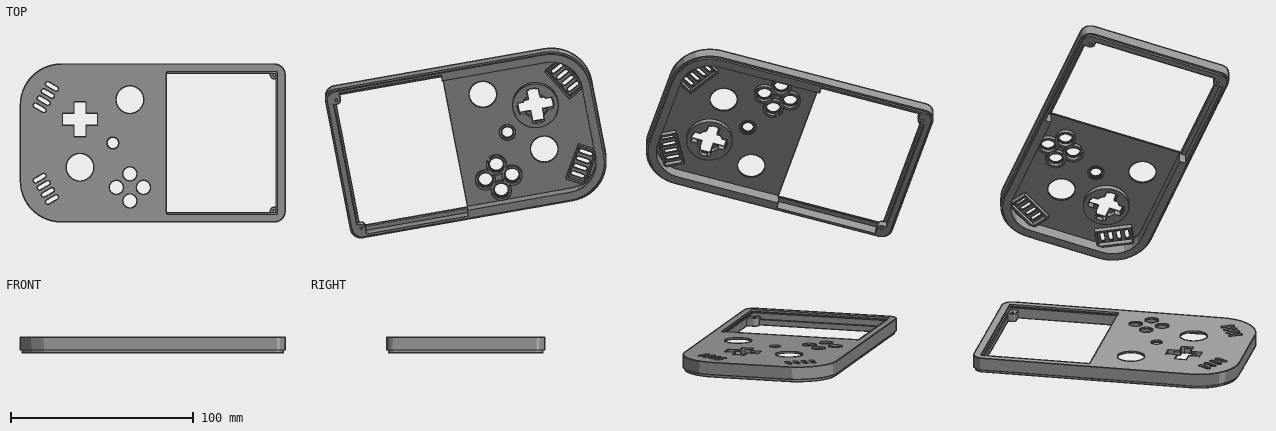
import cadquery as cq

LENGTH = 145.0
WIDTH = 86.55
HEIGHT = 8.5
GRIP_RADIUS = 22.5
SCREEN_END_RADIUS = 6.0
TOP_CHAMFER = 0.2
PLATE_THICKNESS = 1.0
PLATE_BOTTOM = HEIGHT - PLATE_THICKNESS

LIP_HEIGHT = 1.5
LIP_INSET = 1.0

GRIP_WALL = 5.5
SCREEN_WALL = 2.2
SCREEN_CAVITY_RADIUS = SCREEN_END_RADIUS - SCREEN_WALL

WINDOW_X_MIN = 7.5
WINDOW_X_MAX = 68.3
WINDOW_WIDTH = 78.0
WINDOW_RADIUS = 0.8
BEZEL_LEDGE = 0.95
BEZEL_THICKNESS = 0.6
SILL_X = 68.5
SILL_HEIGHT = 3.0

BOSS_DIAMETER = 4.5
SCREW_DIAMETER = 1.4
BOSS_HEIGHT = 4.5

COLLAR_BOTTOM = 4.5
CONTROL_X_LEFT = -39.8
CONTROL_X_RIGHT = -12.5
JOYSTICK_DIAMETER = 15.0
JOYSTICK_POSITIONS = [(CONTROL_X_LEFT, -13.25), (CONTROL_X_RIGHT, 23.7)]
MENU_DIAMETER = 6.2
MENU_RECESS_DIAMETER = 6.8
MENU_COLLAR_DIAMETER = 9.0
MENU_COLLAR_BOTTOM = 7.0
MENU_POSITION = (-21.8, 0.0)

DPAD_CENTER = (CONTROL_X_LEFT, 13.0)
DPAD_SPAN = 19.0
DPAD_ARM = 6.5
DPAD_RECESS_DIAMETER = 14.0
DPAD_COLLAR_DIAMETER = 25.0
DPAD_KEYWAY_WIDTH = 3.5
DPAD_KEYWAY_SPAN = 20.0

BUTTON_CENTER = (CONTROL_X_RIGHT, -24.3)
BUTTON_OFFSET = 7.4
BUTTON_DIAMETER = 7.6
BUTTON_RECESS_DIAMETER = 8.6
BUTTON_COLLAR_DIAMETER = 11.0
BUTTON_COLLAR_BOTTOM = 5.2
BUTTON_NOTCH_WIDTH = 2.4
BUTTON_NOTCH_ANGLE = 45.0

GRILLE_CENTER = (-58.5, 25.1)
GRILLE_ANGLE = 30.0
SLOT_COUNT = 4
SLOT_PITCH = 4.5
SLOT_LENGTH = 7.8
SLOT_WIDTH = 2.5
POCKET_LENGTH = 9.2
POCKET_WIDTH = 18.5
POCKET_WALL = 1.0


def block(x_min, x_max, width, z_min, z_max):
    """Box between two X and Z limits, centered on Y."""
    return (
        cq.Workplane("XY")
        .box(x_max - x_min, width, z_max - z_min, centered=(False, True, False))
        .translate((x_min, 0, z_min))
    )


def cylinder(center, diameter, z_min, z_max):
    return (
        cq.Workplane("XY", origin=(center[0], center[1], z_min))
        .circle(diameter / 2)
        .extrude(z_max - z_min)
    )


def outline(inset, z_min, z_max):
    """Shell outline, offset inwards, between two levels."""
    half_length = LENGTH / 2 - inset
    body = block(-half_length, half_length, WIDTH - 2 * inset, z_min, z_max)
    body = body.edges("|Z and <X").fillet(GRIP_RADIUS - inset)
    return body.edges("|Z and >X").fillet(SCREEN_END_RADIUS - inset)


def make_shell():
    body = outline(0, LIP_HEIGHT, HEIGHT).faces(">Z").chamfer(TOP_CHAMFER)
    shell = body.union(outline(LIP_INSET, 0, LIP_HEIGHT))

    grip_cavity = block(
        -LENGTH / 2 + GRIP_WALL, WINDOW_X_MIN, WIDTH - 2 * GRIP_WALL, 0, PLATE_BOTTOM
    )
    grip_cavity = grip_cavity.edges("|Z and <X").fillet(GRIP_RADIUS - GRIP_WALL)

    screen_cavity = block(
        WINDOW_X_MIN, LENGTH / 2 - SCREEN_WALL, WIDTH - 2 * SCREEN_WALL, 0, PLATE_BOTTOM
    )
    screen_cavity = screen_cavity.edges("|Z and >X").fillet(SCREEN_CAVITY_RADIUS)
    return shell.cut(grip_cavity).cut(screen_cavity)


def add_screen_supports(shell):
    """Bezel layer under the plate, the +X sill and the two screw bosses."""
    wall_x = LENGTH / 2 - SCREEN_WALL
    wall_y = WIDTH / 2 - SCREEN_WALL
    inside = outline(SCREEN_WALL, 0, PLATE_BOTTOM)
    supports = block(
        WINDOW_X_MIN, wall_x, 2 * wall_y, PLATE_BOTTOM - BEZEL_THICKNESS, PLATE_BOTTOM
    )
    supports = supports.union(block(SILL_X, wall_x, 2 * wall_y, 0, SILL_HEIGHT))

    boss_x = LENGTH / 2 - SCREEN_END_RADIUS
    boss_y = WIDTH / 2 - SCREEN_END_RADIUS
    boss_radius = BOSS_DIAMETER / 2
    for side in (-1, 1):
        center = (boss_x, side * boss_y)
        supports = supports.union(cylinder(center, BOSS_DIAMETER, 0, BOSS_HEIGHT))
        end_web = block(
            boss_x, wall_x, boss_radius + wall_y - boss_y, 0, BOSS_HEIGHT
        ).translate((0, side * (wall_y + boss_y - boss_radius) / 2, 0))
        side_web = block(
            boss_x - boss_radius, wall_x, wall_y - boss_y, 0, BOSS_HEIGHT
        ).translate((0, side * (wall_y + boss_y) / 2, 0))
        supports = supports.union(end_web).union(side_web)
    shell = shell.union(supports.intersect(inside))
    for side in (-1, 1):
        shell = shell.cut(cylinder((boss_x, side * boss_y), SCREW_DIAMETER, 0, BOSS_HEIGHT))
    return shell


def cut_window(shell):
    """Plate opening, and a smaller opening that leaves the bezel as a ledge on three sides."""
    plate_opening = block(WINDOW_X_MIN, WINDOW_X_MAX, WINDOW_WIDTH, PLATE_BOTTOM, HEIGHT)
    plate_opening = plate_opening.edges("|Z").fillet(WINDOW_RADIUS)
    bezel_opening = block(
        WINDOW_X_MIN,
        WINDOW_X_MAX - BEZEL_LEDGE,
        WINDOW_WIDTH - 2 * BEZEL_LEDGE,
        PLATE_BOTTOM - BEZEL_THICKNESS,
        PLATE_BOTTOM,
    )
    return shell.cut(plate_opening).cut(bezel_opening)


def cut_joystick_holes(shell):
    for position in JOYSTICK_POSITIONS:
        shell = shell.cut(cylinder(position, JOYSTICK_DIAMETER, PLATE_BOTTOM, HEIGHT))
    return shell


def add_button_holes(shell, positions, hole, recess, collar, collar_bottom):
    """Round holes, each over a slightly wider recess in a collar under the plate."""
    for position in positions:
        shell = shell.union(cylinder(position, collar, collar_bottom, PLATE_BOTTOM))
    for position in positions:
        shell = shell.cut(cylinder(position, recess, collar_bottom, PLATE_BOTTOM))
        shell = shell.cut(cylinder(position, hole, PLATE_BOTTOM, HEIGHT))
    return shell


def add_menu_button(shell):
    return add_button_holes(
        shell,
        [MENU_POSITION],
        MENU_DIAMETER,
        MENU_RECESS_DIAMETER,
        MENU_COLLAR_DIAMETER,
        MENU_COLLAR_BOTTOM,
    )


def cross(length, width, z_min, z_max):
    """Two crossing bars centered on the D-pad."""
    arm = cq.Workplane("XY").box(length, width, z_max - z_min, centered=(True, True, False))
    bars = arm.union(arm.rotate((0, 0, 0), (0, 0, 1), 90))
    return bars.translate((DPAD_CENTER[0], DPAD_CENTER[1], z_min))


def add_dpad(shell):
    """Cross opening in a round collar, with a round recess and keyways under the plate."""
    shell = shell.union(cylinder(DPAD_CENTER, DPAD_COLLAR_DIAMETER, COLLAR_BOTTOM, PLATE_BOTTOM))
    shell = shell.cut(cross(DPAD_SPAN, DPAD_ARM, COLLAR_BOTTOM, HEIGHT))
    shell = shell.cut(cross(DPAD_KEYWAY_SPAN, DPAD_KEYWAY_WIDTH, COLLAR_BOTTOM, PLATE_BOTTOM))
    return shell.cut(cylinder(DPAD_CENTER, DPAD_RECESS_DIAMETER, COLLAR_BOTTOM, PLATE_BOTTOM))


def add_action_buttons(shell):
    """Four button holes with recessed collars; the +Y collar has a notch."""
    center_x, center_y = BUTTON_CENTER
    top_button = (center_x, center_y + BUTTON_OFFSET)
    positions = [
        top_button,
        (center_x, center_y - BUTTON_OFFSET),
        (center_x - BUTTON_OFFSET, center_y),
        (center_x + BUTTON_OFFSET, center_y),
    ]
    shell = add_button_holes(
        shell,
        positions,
        BUTTON_DIAMETER,
        BUTTON_RECESS_DIAMETER,
        BUTTON_COLLAR_DIAMETER,
        BUTTON_COLLAR_BOTTOM,
    )
    notch = block(
        0, BUTTON_COLLAR_DIAMETER / 2, BUTTON_NOTCH_WIDTH, BUTTON_COLLAR_BOTTOM, PLATE_BOTTOM
    )
    notch = notch.rotate((0, 0, 0), (0, 0, 1), BUTTON_NOTCH_ANGLE)
    return shell.cut(notch.translate((top_button[0], top_button[1], 0)))


def add_grilles(shell):
    """Slanted slots in each grip corner, over a rectangular speaker pocket with a thin wall."""
    for side in (-1, 1):
        center = (GRILLE_CENTER[0], side * GRILLE_CENTER[1], COLLAR_BOTTOM)
        plane = cq.Workplane("XY", origin=center)
        plane = plane.transformed(rotate=(0, 0, -side * GRILLE_ANGLE))
        pocket_depth = PLATE_BOTTOM - COLLAR_BOTTOM
        wall = plane.rect(
            POCKET_LENGTH + 2 * POCKET_WALL, POCKET_WIDTH + 2 * POCKET_WALL
        ).extrude(pocket_depth)
        pocket = plane.rect(POCKET_LENGTH, POCKET_WIDTH).extrude(pocket_depth)
        slots = (
            plane.rarray(1, SLOT_PITCH, 1, SLOT_COUNT)
            .slot2D(SLOT_LENGTH, SLOT_WIDTH)
            .extrude(HEIGHT - COLLAR_BOTTOM)
        )
        shell = shell.union(wall).cut(pocket).cut(slots)
    return shell


result = make_shell()
result = add_screen_supports(result)
result = cut_window(result)
result = cut_joystick_holes(result)
result = add_menu_button(result)
result = add_dpad(result)
result = add_action_buttons(result)
result = add_grilles(result)